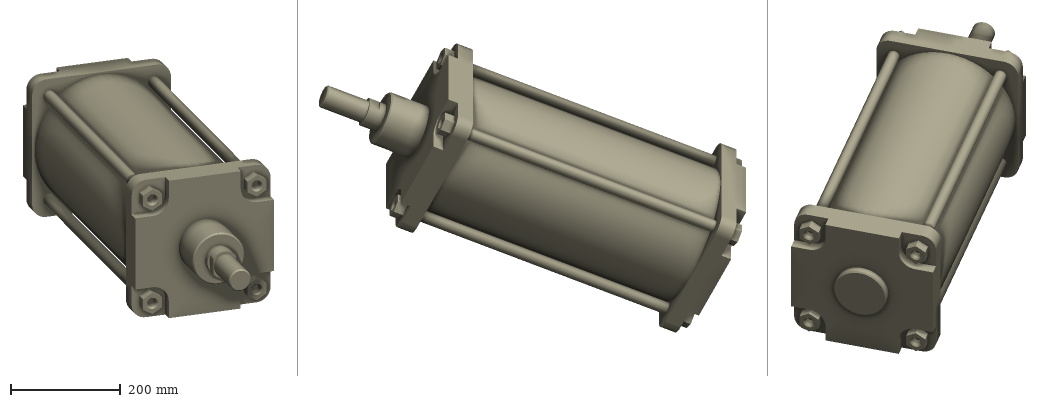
import cadquery as cq
import math

total_length = 803.0

cap_side = 270.0
cap_corner_radius = 27.0
cap_thickness = 50.0
corner_seat_depth = 19.0
corner_seat_width = 65.0

boss_diameter = 100.0
boss_chamfer = 2.5
rear_boss_length = 14.0
front_boss_length = 75.0

barrel_length = 500.0
barrel_diameter = 260.0

tie_spacing = 203.0
tie_diameter = 22.5
nut_across_flats = 36.0
rear_nut_height = 18.0
front_nut_height = corner_seat_depth
socket_diameter = 17.0
socket_depth = rear_nut_height
socket_chamfer = 2.5

collar_diameter = 53.0
collar_length = 32.0
flats_width = 44.0
flats_length = 19.0
stud_diameter = 42.5
stud_chamfer = 2.5

rear_cap_outer = rear_boss_length
rear_cap_inner = rear_cap_outer + cap_thickness
front_cap_inner = rear_cap_inner + barrel_length
front_cap_outer = front_cap_inner + cap_thickness
boss_end = front_cap_outer + front_boss_length
collar_end = boss_end + collar_length

tie_offset = tie_spacing / 2
tie_centres = [(y * tie_offset, z * tie_offset) for y in (-1, 1) for z in (-1, 1)]


def disc(diameter, start, end):
    """Cylinder on the X axis between two stations."""
    return cq.Workplane("YZ", origin=(start, 0, 0)).circle(diameter / 2).extrude(end - start)


def corner_seats(start):
    """Blocks that cut the four recesses at the cap corners, each rounded about its tie rod centre."""
    seat_inner = cap_side / 2 - corner_seat_width
    round_radius = tie_offset - seat_inner
    block_width = 2 * corner_seat_width
    return (
        cq.Workplane("YZ", origin=(start, 0, 0))
        .rect(cap_side, cap_side, forConstruction=True)
        .vertices()
        .rect(block_width, block_width)
        .extrude(corner_seat_depth)
        .edges("|X")
        .fillet(round_radius)
    )


def cap(start, seat_start):
    """Square cap plate with corner seats and close-fitting holes for the tie rods."""
    plate = (
        cq.Workplane("YZ", origin=(start, 0, 0))
        .rect(cap_side, cap_side)
        .extrude(cap_thickness)
        .edges("|X")
        .fillet(cap_corner_radius)
    )
    tie_holes = (
        cq.Workplane("YZ", origin=(start, 0, 0))
        .pushPoints(tie_centres)
        .circle(tie_diameter / 2)
        .extrude(cap_thickness)
    )
    return plate.cut(corner_seats(seat_start)).cut(tie_holes)


def make_rear_cap():
    """Rear cap with its short closed boss."""
    boss = disc(boss_diameter, 0, rear_cap_outer).faces("<X").chamfer(boss_chamfer)
    return cap(rear_cap_outer, rear_cap_outer).union(boss)


def make_front_cap():
    """Front cap with the long boss that carries the piston rod."""
    boss = disc(boss_diameter, front_cap_outer, boss_end).faces(">X").chamfer(boss_chamfer)
    return cap(front_cap_inner, front_cap_outer - corner_seat_depth).union(boss)


def make_barrel():
    """Round barrel held between the caps."""
    return disc(barrel_diameter, rear_cap_inner, front_cap_inner)


def nut(start, height):
    """Hexagonal nut with two flats facing +Y and -Y."""
    across_corners = nut_across_flats / math.cos(math.pi / 6)
    return (
        cq.Workplane("YZ", origin=(start, 0, 0))
        .polygon(6, across_corners)
        .extrude(height)
        .rotate((0, 0, 0), (1, 0, 0), 90)
    )


def half_tie_rod(half_length, nut_height):
    """Tie rod from its middle at X = 0 to the nut at its -X end, which has a chamfered socket."""
    outer_end = -half_length
    shank = disc(tie_diameter, outer_end + nut_height, 0)
    socket = disc(socket_diameter, outer_end, outer_end + socket_depth)
    socket_rim = cq.selectors.RadiusNthSelector(0)
    half = nut(outer_end, nut_height).union(shank).cut(socket)
    return half.faces("<X").edges(socket_rim).chamfer(socket_chamfer)


def make_tie_rod(y, z):
    """Tie rod with its two nuts, each seated on the floor of a corner seat."""
    middle = (rear_cap_outer + front_cap_outer) / 2
    half_grip = (front_cap_outer - rear_cap_outer) / 2 - corner_seat_depth
    rear_half = half_tie_rod(half_grip + rear_nut_height, rear_nut_height)
    front_half = half_tie_rod(half_grip + front_nut_height, front_nut_height).mirror("YZ")
    return rear_half.union(front_half).translate((middle, y, z))


def make_piston_rod():
    """Visible end of the piston rod, starting at the front boss face."""
    collar = disc(collar_diameter, boss_end, collar_end)
    flats_middle = collar_end - flats_length / 2
    cutter_offset = (flats_width + collar_diameter) / 2
    for side in (-1, 1):
        flat_cut = (
            cq.Workplane("XY")
            .box(flats_length, collar_diameter, collar_diameter)
            .translate((flats_middle, side * cutter_offset, 0))
        )
        collar = collar.cut(flat_cut)
    stud = disc(stud_diameter, collar_end, total_length).faces(">X").chamfer(stud_chamfer)
    return collar.union(stud)


rear_cap = make_rear_cap()
front_cap = make_front_cap()
barrel = make_barrel()
piston_rod = make_piston_rod()
tie_rods = [make_tie_rod(y, z) for y, z in tie_centres]

result = cq.Compound.makeCompound(
    [
        rear_cap.val(),
        front_cap.val(),
        barrel.val(),
        piston_rod.val(),
        *[tie_rod.val() for tie_rod in tie_rods],
    ]
)